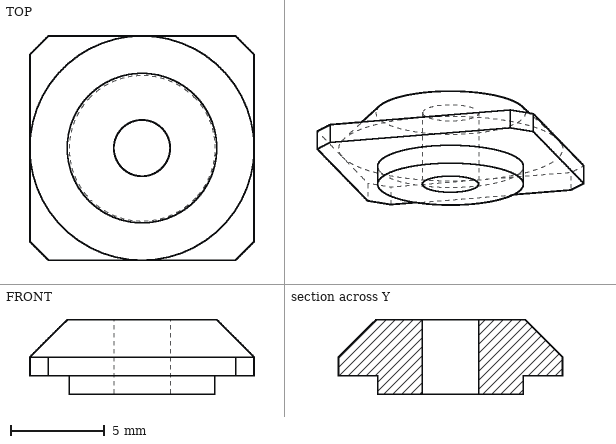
import cadquery as cq

side = 12.0
total_height = 4.0
layer_height = total_height / 4
corner_chamfer = side / 12
boss_diameter = 7.8
hole_diameter = 3.0

cone_height = total_height - 2 * layer_height
cone_base_radius = side / 2
cone_top_radius = cone_base_radius - cone_height


def make_plate():
    """Square plate with chamfered corners, its underside at Z = 0."""
    plate = cq.Workplane("XY").box(side, side, layer_height, centered=(True, True, False))
    return plate.edges("|Z").chamfer(corner_chamfer)


def make_cone():
    """Truncated cone standing on the plate."""
    base = cq.Vector(0, 0, layer_height)
    return cq.Workplane(cq.Solid.makeCone(cone_base_radius, cone_top_radius, cone_height, base))


def make_boss():
    """Round locating boss under the plate."""
    return cq.Workplane("XY").circle(boss_diameter / 2).extrude(-layer_height)


def make_hole():
    """Cutter for the central hole through the full height."""
    bottom = cq.Workplane("XY").workplane(offset=-layer_height)
    return bottom.circle(hole_diameter / 2).extrude(total_height)


result = make_plate().union(make_cone()).union(make_boss()).cut(make_hole())